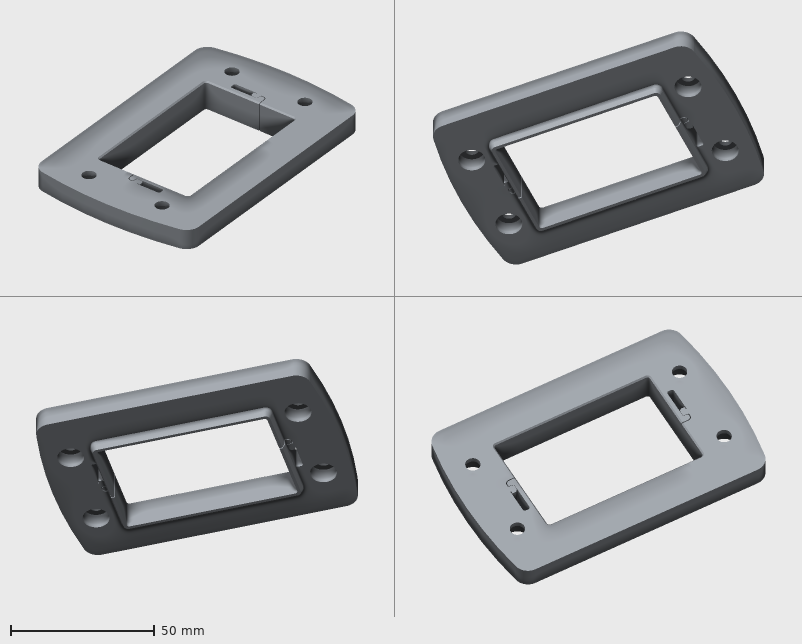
import cadquery as cq

plate_width = 69.0
plate_length = 105.0
side_length = 97.9
corner_radius = 5.5
plate_thickness = 8.0

total_height = 11.5
skirt_width = 43.5
skirt_length = 66.2
skirt_corner_radius = 2.5
skirt_straight_depth = 1.8
skirt_taper_inset = 0.8
skirt_depth = total_height - plate_thickness

opening_width = 39.5
opening_length = 62.2
opening_corner_radius = 1.0
rim_chamfer = 0.5

hole_diameter = 5.4
counterbore_diameter = 9.5
hole_seat_thickness = 2.0
hole_spacing_x = 32.0
hole_spacing_y = 82.7

slot_left = -10.5
slot_bottom = skirt_length / 2
slot_top = 35.7
slot_corner_radius = 0.7
tooth_left = -1.8
tooth_right = 1.2
tooth_lean = 0.4
tooth_root_left = -0.7
tooth_tip_radius = 1.3
hook_right = 3.7
hook_cavity_top = 35.4
hook_cavity_radius = 1.6
joint_gap = 0.3
tooth_gap = 0.1

BOTTOM_Z = -skirt_depth


def make_plate():
    half_width = plate_width / 2
    half_side = side_length / 2
    half_length = plate_length / 2
    return (
        cq.Workplane("XY")
        .moveTo(-half_width, -half_side)
        .threePointArc((0, -half_length), (half_width, -half_side))
        .lineTo(half_width, half_side)
        .threePointArc((0, half_length), (-half_width, half_side))
        .close()
        .extrude(plate_thickness)
        .edges("|Z")
        .fillet(corner_radius)
    )


def make_skirt():
    return (
        cq.Workplane("XY")
        .rect(skirt_width, skirt_length)
        .extrude(-skirt_depth)
        .edges("|Z")
        .fillet(skirt_corner_radius)
        .faces("<Z")
        .chamfer(skirt_depth - skirt_straight_depth, skirt_taper_inset)
    )


def through_block(left, right, low, high):
    """Full-height block between the given X and Y limits."""
    return (
        cq.Workplane("XY", origin=(left, low, BOTTOM_Z))
        .rect(right - left, high - low, centered=False)
        .extrude(total_height)
    )


def make_opening():
    half_width = opening_width / 2
    half_length = opening_length / 2
    opening = through_block(-half_width, half_width, -half_length, half_length)
    return opening.edges("|Z").fillet(opening_corner_radius)


def make_rim_chamfer():
    rim = (
        cq.Sketch()
        .rect(opening_width + 2 * rim_chamfer, opening_length + 2 * rim_chamfer)
        .vertices()
        .fillet(opening_corner_radius + rim_chamfer)
    )
    return (
        cq.Workplane("XY", origin=(0, 0, plate_thickness))
        .placeSketch(rim)
        .extrude(-rim_chamfer, taper=45)
    )


def make_holes():
    """Screw holes with counterbores in the underside of the plate."""
    counterbore_depth = plate_thickness - hole_seat_thickness
    centres = cq.Workplane("XY").rect(hole_spacing_x, hole_spacing_y, forConstruction=True).vertices()
    shanks = centres.circle(hole_diameter / 2).extrude(plate_thickness)
    counterbores = centres.circle(counterbore_diameter / 2).extrude(counterbore_depth)
    return shanks.union(counterbores)


def through_outline(points):
    """Full-height prism over a closed outline."""
    return cq.Workplane("XY", origin=(0, 0, BOTTOM_Z)).polyline(points).close().extrude(total_height)


def make_tooth():
    """Tooth hanging from the slot's upper wall, leaning over towards the hook."""
    tooth_bottom = slot_bottom + tooth_gap
    tooth_top = slot_top - joint_gap
    tooth = through_outline([
        (tooth_left, tooth_bottom),
        (tooth_right, tooth_bottom),
        (tooth_right + tooth_lean, slot_top),
        (tooth_root_left, slot_top),
        (tooth_root_left, tooth_top),
        (tooth_left, tooth_top),
    ])
    return tooth.edges("|Z and <X and <Y").fillet(tooth_tip_radius)


def make_hook():
    """Hook behind the tooth, with the finger that carries it."""
    inside_opening = opening_length / 2 - rim_chamfer
    hook_top = hook_cavity_top - joint_gap
    hook_left = tooth_right + tooth_gap
    hook = through_outline([
        (tooth_right, inside_opening),
        (hook_right, inside_opening),
        (hook_right, hook_top),
        (hook_left + tooth_lean, hook_top),
        (hook_left, slot_bottom),
        (tooth_right, slot_bottom),
    ])
    return hook.edges("|Z and >X and >Y").fillet(hook_cavity_radius - joint_gap)


def make_snap_joint():
    """Void of the snap joint at the +Y end."""
    inside_opening = opening_length / 2 - rim_chamfer
    slot = through_block(slot_left, tooth_right, slot_bottom, slot_top)
    slot = slot.edges("|Z and <X").fillet(slot_corner_radius)
    cavity = through_block(tooth_right, hook_right + joint_gap, inside_opening, hook_cavity_top)
    cavity = cavity.edges("|Z and >X and >Y").fillet(hook_cavity_radius)
    return slot.union(cavity).cut(make_tooth()).cut(make_hook())


snap_joint = make_snap_joint()
opposite_snap_joint = snap_joint.rotate((0, 0, 0), (0, 0, 1), 180)

result = (
    make_plate()
    .union(make_skirt())
    .cut(make_opening())
    .cut(make_rim_chamfer())
    .cut(make_holes())
    .cut(snap_joint)
    .cut(opposite_snap_joint)
)